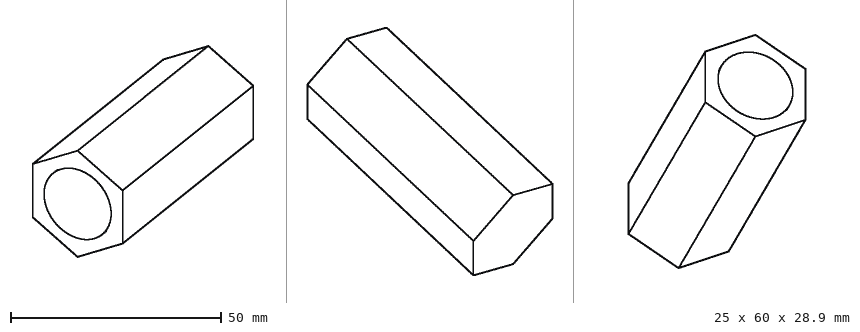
import cadquery as cq

length = 60.0
across_flats = 25.0
bore_diameter = 18.65
wall_thickness = (across_flats - bore_diameter) / 2
bore_depth = length - wall_thickness

bar = (
    cq.Workplane("XZ")
    .polygon(6, across_flats, circumscribed=True)
    .extrude(length / 2, both=True)
)

bore = (
    cq.Workplane("XZ", origin=(0, -length / 2, 0))
    .circle(bore_diameter / 2)
    .extrude(-bore_depth)
)

result = bar.cut(bore)